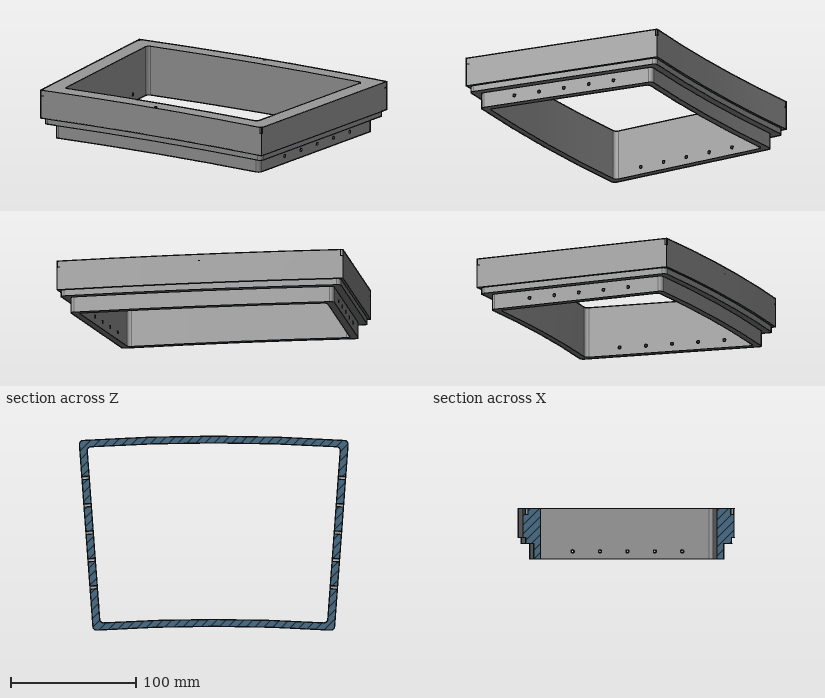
import cadquery as cq
import math

width = 233.0
radial_depth = 168.6
outer_radius = 1579.3

body_height = 23.3
step_height = 5.0
skirt_height = 12.3
total_height = body_height + step_height + skirt_height

step_inset = 2.0
skirt_inset = 8.5
window_end_inset = 14.0
window_side_inset = 14.5

step_corner_radius = 3.3
skirt_corner_radius = 3.3
window_corner_radius = 3.0

side_hole_count = 5
side_hole_pitch = 22.0
side_hole_diameter = 2.3
side_hole_length = 2 * window_side_inset
side_hole_shift = 2.0

marker_diameter = 2.0
marker_depth = 5.0
corner_marker_inset = 1.02
outer_marker_inset = 1.9
inner_marker_inset = 2.8

half_angle = math.asin(width / 2 / outer_radius)
inner_radius = outer_radius - radial_depth
middle_radius = (outer_radius + inner_radius) / 2
ring_center_y = -(outer_radius + inner_radius * math.cos(half_angle)) / 2


def ring_point(radius, angle, side_inset=0.0):
    """Point on an arc, moved square to the slanted side at that angle; angle is from +Y toward +X."""
    side = math.copysign(1, angle)
    turn = angle - side * math.asin(side_inset / radius)
    return radius * math.sin(turn), ring_center_y + radius * math.cos(turn)


def sector(end_inset, side_inset, bottom_z, height, corner_radius=0.0):
    """Block with two concentric curved ends and two straight slanted sides."""
    far = outer_radius - end_inset
    near = inner_radius + end_inset
    block = (
        cq.Workplane("XY")
        .workplane(offset=bottom_z)
        .moveTo(*ring_point(far, -half_angle, side_inset))
        .threePointArc((0, ring_center_y + far), ring_point(far, half_angle, side_inset))
        .lineTo(*ring_point(near, half_angle, side_inset))
        .threePointArc((0, ring_center_y + near), ring_point(near, -half_angle, side_inset))
        .close()
        .extrude(height)
    )
    if corner_radius:
        block = block.edges("|Z").fillet(corner_radius)
    return block


def side_holes(side):
    """Row of holes square to one slanted side, through the skirt wall."""
    angle = side * half_angle
    inward = cq.Vector(-side * math.cos(half_angle), math.sin(half_angle), 0)
    holes = cq.Workplane("XY")
    for index in range(side_hole_count):
        offset = (index - (side_hole_count - 1) / 2) * side_hole_pitch
        x, y = ring_point(middle_radius + side_hole_shift + offset, angle)
        start = cq.Vector(x, y, skirt_height / 2)
        holes = holes.add(
            cq.Solid.makeCylinder(side_hole_diameter / 2, side_hole_length, start, inward)
        )
    return holes.combine()


def marker_holes():
    """Blind holes in the top face: one at each corner and one at the middle of each curved end."""
    centers = [
        ring_point(radius, side * half_angle, corner_marker_inset)
        for radius in (inner_radius + corner_marker_inset, outer_radius - corner_marker_inset)
        for side in (-1, 1)
    ]
    centers.append((0, ring_center_y + outer_radius - outer_marker_inset))
    centers.append((0, ring_center_y + inner_radius + inner_marker_inset))
    return (
        cq.Workplane("XY")
        .workplane(offset=total_height - marker_depth)
        .pushPoints(centers)
        .circle(marker_diameter / 2)
        .extrude(marker_depth)
    )


skirt = sector(skirt_inset, skirt_inset, 0, skirt_height, skirt_corner_radius)
step = sector(step_inset, step_inset, skirt_height, step_height, step_corner_radius)
body = sector(0, 0, skirt_height + step_height, body_height)
window = sector(window_end_inset, window_side_inset, 0, total_height, window_corner_radius)

frame = body.union(step).union(skirt).cut(window)
for side in (-1, 1):
    frame = frame.cut(side_holes(side))
result = frame.cut(marker_holes())